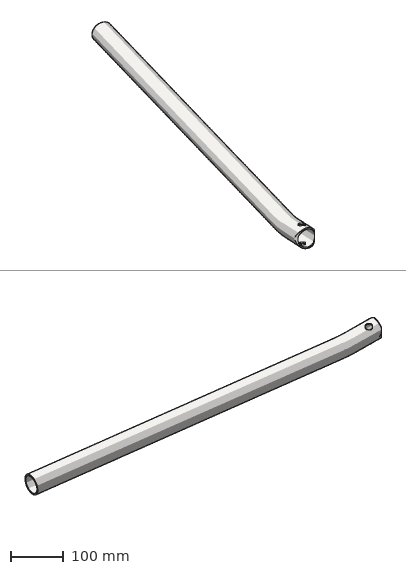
import cadquery as cq
import math

overall_length = 788.5
outer_diameter = 42.5
wall = 3.0
outer_radius = outer_diameter / 2
inner_radius = outer_radius - wall

bend_angle = 12.0
bend_radius = 140.0
level_length = 61.0

corner_radius = 12.0
hole_diameter = 14.0
hole_from_end = 20.5

slope = math.radians(bend_angle)
bend_run = bend_radius * math.sin(slope)
bend_rise = bend_radius * (1 - math.cos(slope))
rim_overhang = outer_radius * math.sin(slope)
sloping_run = overall_length - level_length - bend_run - rim_overhang
sloping_rise = sloping_run * math.tan(slope)

end_x = overall_length / 2
bend_end_x = end_x - level_length
bend_start = (bend_end_x - bend_run, bend_rise)
bend_middle = (
    bend_end_x - bend_radius * math.sin(slope / 2),
    bend_radius * (1 - math.cos(slope / 2)),
)
sloping_end = (bend_start[0] - sloping_run, bend_start[1] + sloping_rise)


def bent_rod(radius):
    """Solid round rod following the tube centreline."""
    path = (
        cq.Workplane("XZ")
        .moveTo(end_x, 0)
        .lineTo(bend_end_x, 0)
        .threePointArc(bend_middle, bend_start)
        .lineTo(*sloping_end)
    )
    return cq.Workplane("YZ", origin=(end_x, 0, 0)).circle(radius).sweep(path)


def corner_cutter(side):
    """Material outside the rounded corner on one Y side of the level end."""
    edge_y = side * outer_radius
    arc_x = end_x - corner_radius
    arc_y = edge_y - side * corner_radius
    diagonal = corner_radius * math.sqrt(0.5)
    return (
        cq.Workplane("XY")
        .moveTo(arc_x, edge_y)
        .threePointArc((arc_x + diagonal, arc_y + side * diagonal), (end_x, arc_y))
        .lineTo(end_x, edge_y)
        .close()
        .extrude(outer_radius, both=True)
    )


tube = bent_rod(outer_radius).cut(bent_rod(inner_radius))

for side in (-1, 1):
    tube = tube.cut(corner_cutter(side))

pin_hole = (
    cq.Workplane("XY")
    .center(end_x - hole_from_end, 0)
    .circle(hole_diameter / 2)
    .extrude(outer_diameter, both=True)
)

result = tube.cut(pin_hole)